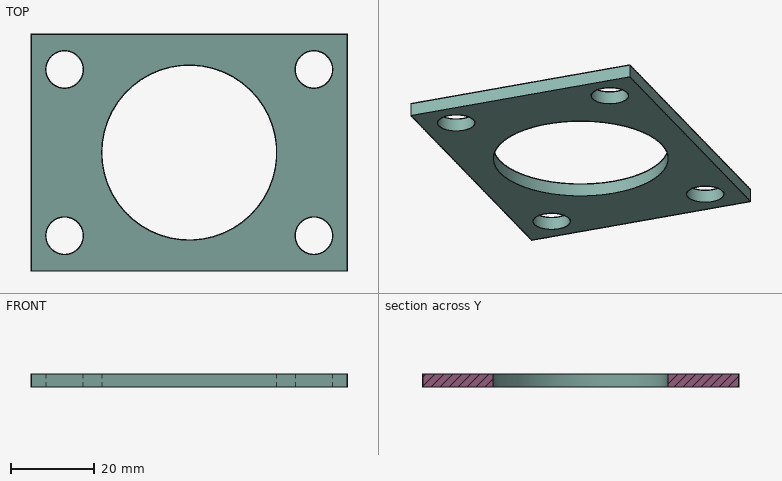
import cadquery as cq

plate_length = 76.0
plate_width = 57.0
plate_thickness = 3.2

opening_diameter = 42.0
mounting_hole_diameter = 9.0
hole_spacing_x = 60.0
hole_spacing_y = 40.0

plate = cq.Workplane("XY").box(plate_length, plate_width, plate_thickness)

plate_with_opening = plate.faces(">Z").workplane().hole(opening_diameter)

result = (
    plate_with_opening.faces(">Z")
    .workplane(origin=(0, 0, 0))
    .rect(hole_spacing_x, hole_spacing_y, forConstruction=True)
    .vertices()
    .hole(mounting_hole_diameter)
)